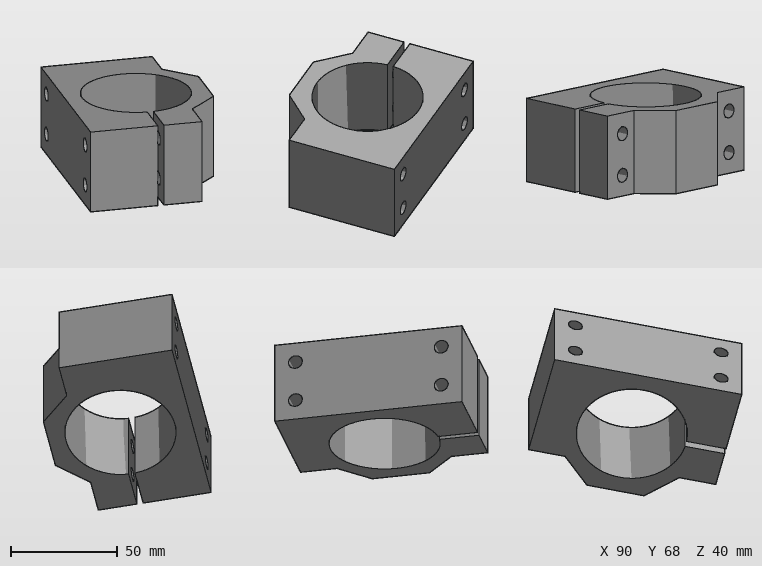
import cadquery as cq

length = 90.0
block_depth = 54.0
height = 40.0

total_depth = 68.0
crown_width = 27.45
shoulder_width = 54.9

bore_diameter = 52.0
slit_width = 3.0

bolt_diameter = 6.6
bolt_edge_distance = 10.0

center_x = length / 2
bore_y = total_depth / 2


def make_body():
    """Block outline with the trapezoidal crown, extruded upward."""
    outline = [
        (0, 0),
        (length, 0),
        (length, block_depth),
        (center_x + shoulder_width / 2, block_depth),
        (center_x + crown_width / 2, total_depth),
        (center_x - crown_width / 2, total_depth),
        (center_x - shoulder_width / 2, block_depth),
        (0, block_depth),
    ]
    return cq.Workplane("XY").polyline(outline).close().extrude(height)


def make_bore():
    return cq.Workplane("XY").center(center_x, bore_y).circle(bore_diameter / 2).extrude(height)


def make_slit():
    """Slot from the bore axis out through the +X face."""
    return (
        cq.Workplane("XY")
        .center(center_x, bore_y)
        .rect(length / 2, slit_width, centered=(False, True))
        .extrude(height)
    )


def make_bolt_holes():
    """One hole near each corner of the front face, through the block."""
    spots = [
        (x, z)
        for x in (bolt_edge_distance, length - bolt_edge_distance)
        for z in (bolt_edge_distance, height - bolt_edge_distance)
    ]
    return cq.Workplane("XZ").pushPoints(spots).circle(bolt_diameter / 2).extrude(-block_depth)


result = make_body().cut(make_bore()).cut(make_slit()).cut(make_bolt_holes())